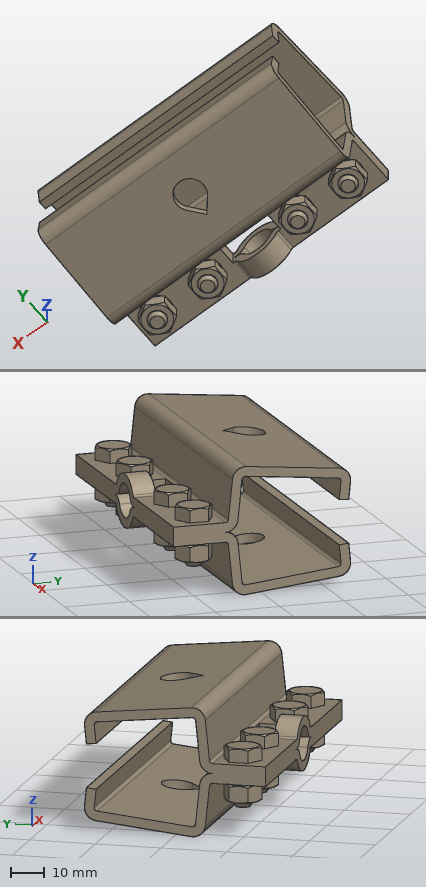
import cadquery as cq
import math

length = 88.0
depth = 55.2
half_height = 19.5
sheet = 3.0
bend_inner = 1.0
bend_mid = bend_inner + sheet / 2
bend_outer = bend_inner + sheet
tilt = 6.0

flange_depth = 16.1
lip_length = 5.5

collar_outer = 8.2
collar_mid = collar_outer - sheet / 2
collar_depth = 7.0
window_half_width = 9.0
window_end = 15.8

teardrop_radius = 5.1
teardrop_y = 38.5
teardrop_tip = 7.8

bolt_inner_x = 17.0
bolt_outer_x = 36.0
bolt_xs = [-bolt_outer_x, -bolt_inner_x, bolt_inner_x, bolt_outer_x]
bolt_y = 9.0
bolt_diameter = 6.0
bolt_tip_diameter = 4.2
bolt_tip_length = 1.4
bolt_end = 11.2
hex_flats = 10.0
hex_corners = hex_flats / math.cos(math.radians(30))
hex_face_radius = 4.8
hex_cone_height = 7.0
hex_chamfer_slope = math.tan(math.radians(30))
head_height = 4.2
washer_diameter = 9.5
washer_height = 1.1
nut_height = 5.3

tilt_rad = math.radians(tilt)
front_wall_rise = half_height - 2 * bend_outer + 2 * bend_mid * math.sin(tilt_rad)
front_wall_length = front_wall_rise / math.cos(tilt_rad)
front_wall_run = front_wall_length * math.sin(tilt_rad)
corner_y = flange_depth + 2 * bend_mid * math.cos(tilt_rad) + front_wall_run
corner_z = half_height - bend_outer
top_wall_length = (depth - bend_outer - corner_y) / math.cos(tilt_rad)


def bent_sheet(plane, start, steps, width):
    """Sheet of constant thickness along a bent middle line, starting along local +x.

    Each step is (straight length, bend angle, middle radius of the bend);
    a positive angle turns left. The width runs along the plane normal.
    """
    x, y = start
    heading = 0.0
    pieces = cq.Workplane(plane)

    def across(px, py, angle):
        """Left and right edge points of the sheet at a middle-line point."""
        nx = -math.sin(angle) * sheet / 2
        ny = math.cos(angle) * sheet / 2
        return (px + nx, py + ny), (px - nx, py - ny)

    for straight, angle, radius in steps:
        left_a, right_a = across(x, y, heading)
        x += straight * math.cos(heading)
        y += straight * math.sin(heading)
        left_b, right_b = across(x, y, heading)
        if straight > 0:
            corners = [left_a, right_a, right_b, left_b]
            pieces = pieces.union(cq.Workplane(plane).polyline(corners).close().extrude(width))

        if angle != 0:
            turn = math.radians(angle)
            signed = math.copysign(radius, angle)
            centre_x = x - signed * math.sin(heading)
            centre_y = y + signed * math.cos(heading)
            edges = [(left_b, right_b)]
            for direction in (heading + turn / 2, heading + turn):
                x = centre_x + signed * math.sin(direction)
                y = centre_y - signed * math.cos(direction)
                edges.append(across(x, y, direction))
            heading += turn
            (left_b, right_b), (left_mid, right_mid), (left_c, right_c) = edges
            bend = (
                cq.Workplane(plane)
                .moveTo(*left_b)
                .threePointArc(left_mid, left_c)
                .lineTo(*right_c)
                .threePointArc(right_mid, right_b)
                .close()
                .extrude(width)
            )
            pieces = pieces.union(bend)
    return pieces


def rail_half():
    """Upper rail: flange, front wall, top wall and lip bent from one sheet."""
    steps = [
        (flange_depth, 90 - tilt, bend_mid),
        (front_wall_length, -90, bend_mid),
        (top_wall_length, -90, bend_mid),
        (lip_length, 0, 0),
    ]
    sheet_body = bent_sheet("YZ", (0, sheet / 2), steps, length)
    return sheet_body.translate((-length / 2, 0, 0))


def window_cutter():
    """Block through the flange, open at the front edge where the collar is added."""
    cut_height = 4 * sheet
    return cq.Workplane("XY").box(
        2 * window_half_width, window_end, cut_height, centered=(True, False, True)
    )


def collar_half():
    """Arched strip that grips the rod, flowing into the flange on both sides."""
    centre_distance = collar_outer + bend_inner
    foot_x = math.sqrt(centre_distance**2 - bend_outer**2)
    foot_angle = math.degrees(math.acos(bend_outer / centre_distance))
    foot_straight = window_half_width - foot_x
    steps = [
        (foot_straight, foot_angle, bend_mid),
        (0, -2 * foot_angle, collar_mid),
        (0, foot_angle, bend_mid),
        (foot_straight, 0, 0),
    ]
    start = (-window_half_width, sheet / 2)
    arch = bent_sheet("XZ", start, steps, collar_depth)
    return arch.translate((0, collar_depth, 0))


def teardrop_cutter():
    """Teardrop prism square to the sloping top wall, pointing towards the flange."""
    wall_peak_z = corner_z + bend_outer / math.cos(tilt_rad)
    wall_z = wall_peak_z - (teardrop_y - corner_y) * math.tan(tilt_rad)
    cut_reach = 2 * sheet
    tangent_angle = math.acos(teardrop_radius / teardrop_tip)
    tangent_x = teardrop_radius * math.sin(tangent_angle)
    tangent_y = -teardrop_radius * math.cos(tangent_angle)
    return (
        cq.Workplane("XY")
        .moveTo(0, -teardrop_tip)
        .lineTo(tangent_x, tangent_y)
        .threePointArc((0, teardrop_radius), (-tangent_x, tangent_y))
        .close()
        .extrude(cut_reach, both=True)
        .rotate((0, 0, 0), (1, 0, 0), -tilt)
        .translate((0, teardrop_y, wall_z))
    )


def corner_cone(face_z, direction):
    """Cone that trims hexagon corners, leaving a round face at face_z.

    It widens along the given direction (+1 up, -1 down).
    """
    far_radius = hex_face_radius + hex_cone_height / hex_chamfer_slope
    outline = [
        (0, face_z),
        (hex_face_radius, face_z),
        (far_radius, face_z + direction * hex_cone_height),
        (0, face_z + direction * hex_cone_height),
    ]
    return cq.Workplane("XZ").polyline(outline).close().revolve(360, (0, 0, 0), (0, 1, 0))


def hexagon(bottom, height):
    """Hexagonal prism with two flats facing the X directions."""
    prism = cq.Workplane("XY").workplane(offset=bottom).polygon(6, hex_corners).extrude(height)
    return prism.rotate((0, 0, 0), (0, 0, 1), 30)


def bolt():
    """Bolt, washer and nut around the Z axis, clamping the two flanges."""
    head_top = sheet + head_height
    head = hexagon(sheet, head_height).intersect(corner_cone(head_top, -1))

    washer_bottom = -sheet - washer_height
    washer = (
        cq.Workplane("XY").workplane(offset=washer_bottom).circle(washer_diameter / 2).extrude(washer_height)
    )

    nut_bottom = washer_bottom - nut_height
    nut = hexagon(nut_bottom, nut_height)
    nut = nut.intersect(corner_cone(washer_bottom, -1)).intersect(corner_cone(nut_bottom, 1))

    shank = cq.Workplane("XY").workplane(offset=-bolt_end).circle(bolt_diameter / 2).extrude(bolt_end)
    shank = shank.faces("<Z").chamfer(bolt_tip_length, (bolt_diameter - bolt_tip_diameter) / 2)
    return head.union(washer).union(nut).union(shank)


half = rail_half().cut(window_cutter()).union(collar_half()).cut(teardrop_cutter())
result = half.union(half.mirror("XY"))
for bolt_x in bolt_xs:
    result = result.union(bolt().translate((bolt_x, bolt_y, 0)))